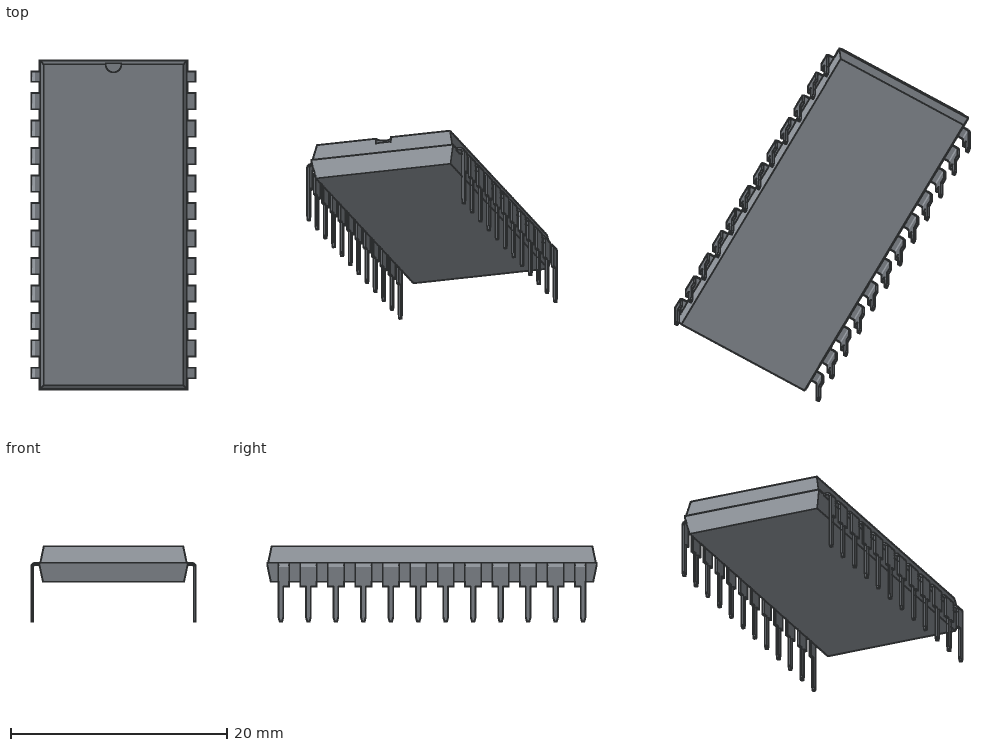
import cadquery as cq
import math


BODY_WIDTH = 13.72
BODY_LENGTH = 30.48
BODY_TOP = 3.75
BODY_BOTTOM = 0.45
DRAFT_ANGLE = 12.0
UPPER_STEP = 0.08

LEADS_PER_SIDE = 12
PITCH = 2.54
LEAD_SPAN = 15.24
LEAD_THICKNESS = 0.2
BEND_RADIUS = 0.4
SHOULDER_WIDTH = 1.52
PIN_WIDTH = 0.46
PIN_LENGTH = 3.23
TIP_WIDTH = 0.23
TIP_LENGTH = 0.4
LEAD_EMBED = 0.5
LEAD_TOP = 2.2

NOTCH_RADIUS = 0.73
NOTCH_DEPTH = 0.5

BAND_BOTTOM = LEAD_TOP - LEAD_THICKNESS
DRAFT_SLOPE = math.tan(math.radians(DRAFT_ANGLE))


def make_body():
    """Moulded body: a straight band, with a slightly inset tapered half above and a tapered half below."""
    band = (
        cq.Workplane("XY", origin=(0, 0, BAND_BOTTOM))
        .rect(BODY_WIDTH, BODY_LENGTH)
        .extrude(LEAD_THICKNESS)
    )
    upper = (
        cq.Workplane("XY", origin=(0, 0, LEAD_TOP))
        .rect(BODY_WIDTH - 2 * UPPER_STEP, BODY_LENGTH - 2 * UPPER_STEP)
        .extrude(BODY_TOP - LEAD_TOP, taper=DRAFT_ANGLE)
    )
    lower = (
        cq.Workplane("XY", origin=(0, 0, BAND_BOTTOM))
        .rect(BODY_WIDTH, BODY_LENGTH)
        .extrude(BODY_BOTTOM - BAND_BOTTOM, taper=DRAFT_ANGLE)
    )
    return band.union(upper).union(lower)


def make_notch():
    """Round cutter centred on the +Y edge of the top face."""
    top_edge_y = BODY_LENGTH / 2 - UPPER_STEP - (BODY_TOP - LEAD_TOP) * DRAFT_SLOPE
    return (
        cq.Workplane("XY", origin=(0, top_edge_y, BODY_TOP - NOTCH_DEPTH))
        .circle(NOTCH_RADIUS)
        .extrude(NOTCH_DEPTH)
    )


def make_bent_strip():
    """Full-length strip with the bent section shared by all leads on the +X side."""
    outer_x = LEAD_SPAN / 2
    inner_x = outer_x - LEAD_THICKNESS
    root_x = BODY_WIDTH / 2 - LEAD_EMBED
    bend_x = outer_x - BEND_RADIUS
    bend_z = LEAD_TOP - BEND_RADIUS
    inner_radius = BEND_RADIUS - LEAD_THICKNESS
    diagonal = math.sqrt(0.5)
    outer_mid = (bend_x + BEND_RADIUS * diagonal, bend_z + BEND_RADIUS * diagonal)
    inner_mid = (bend_x + inner_radius * diagonal, bend_z + inner_radius * diagonal)
    return (
        cq.Workplane("XZ")
        .moveTo(root_x, LEAD_TOP)
        .lineTo(bend_x, LEAD_TOP)
        .threePointArc(outer_mid, (outer_x, bend_z))
        .lineTo(outer_x, -PIN_LENGTH)
        .lineTo(inner_x, -PIN_LENGTH)
        .lineTo(inner_x, bend_z)
        .threePointArc(inner_mid, (bend_x, BAND_BOTTOM))
        .lineTo(root_x, BAND_BOTTOM)
        .close()
        .extrude(BODY_LENGTH / 2, both=True)
    )


def make_pin_prism(center_y):
    """Prism along X with the outline of one narrow pin and its tapered tip."""
    half_pin = PIN_WIDTH / 2
    half_tip = TIP_WIDTH / 2
    tip_start = TIP_LENGTH - PIN_LENGTH
    return (
        cq.Workplane("YZ", origin=(0, center_y, 0))
        .moveTo(-half_pin, LEAD_TOP)
        .lineTo(-half_pin, tip_start)
        .lineTo(-half_tip, -PIN_LENGTH)
        .lineTo(half_tip, -PIN_LENGTH)
        .lineTo(half_pin, tip_start)
        .lineTo(half_pin, LEAD_TOP)
        .close()
        .extrude(LEAD_SPAN / 2)
    )


def make_shoulder_prism(start_y, end_y):
    """Prism along X covering the wide upper part of one lead."""
    return (
        cq.Workplane("XY", origin=(0, start_y, 0))
        .box(LEAD_SPAN / 2, end_y - start_y, LEAD_TOP, centered=False)
    )


def make_lead_row():
    """Leads on the +X side; the end leads have a shoulder only on their inner side."""
    strip = make_bent_strip()
    last = LEADS_PER_SIDE - 1
    row = cq.Workplane("XY")
    for index in range(LEADS_PER_SIDE):
        center_y = (index - last / 2) * PITCH
        reach_back = PIN_WIDTH / 2 if index == 0 else SHOULDER_WIDTH / 2
        reach_ahead = PIN_WIDTH / 2 if index == last else SHOULDER_WIDTH / 2
        shoulder = make_shoulder_prism(center_y - reach_back, center_y + reach_ahead)
        outline = make_pin_prism(center_y).union(shoulder)
        row = row.add(strip.intersect(outline))
    return row.combine()


lead_row = make_lead_row()
body = make_body().cut(make_notch())
result = body.union(lead_row).union(lead_row.mirror("YZ"))